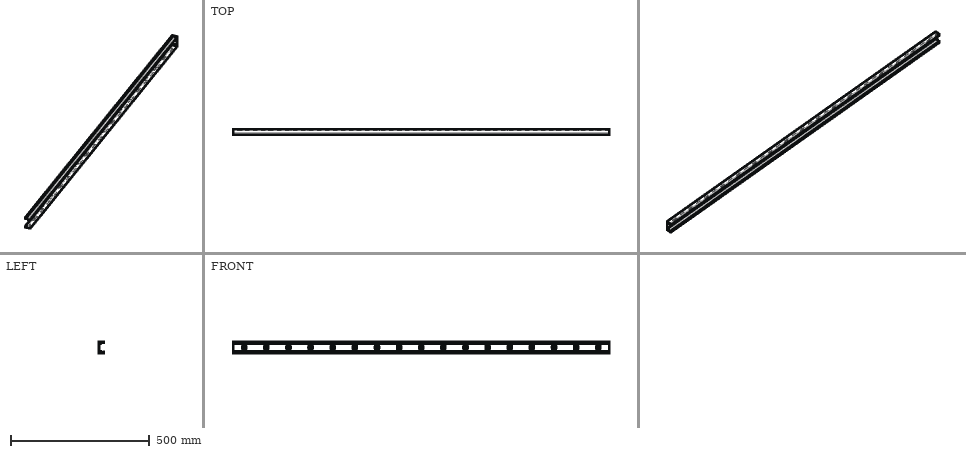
import cadquery as cq

length = 1360.0
depth = 21.0
height = 43.0
half_height = height / 2

web_thickness = 4.5
shoulder_half_gap = 12.3
shoulder_depth = 8.0
flange_thickness = 3.5
groove_half_height = half_height - flange_thickness
groove_back = 12.5
groove_front = 17.5
lip_half_gap = 15.4
lip_land = 0.8
lip_bevel = 1.0
lip_front = depth - lip_bevel
lip_back = lip_front - lip_land

front_edge_radius = 1.5
back_edge_radius = 1.5
shoulder_radius = 4.0
groove_radius = 1.5

hole_pitch = 80.0
hole_count = 17
hole_diameter = 8.5
countersink_diameter = 17.0
countersink_angle = 90.0


def sharp_channel():
    """C-section with a raceway groove in each flange, extruded along X."""
    upper_half = [
        (0, half_height),
        (depth, half_height),
        (depth, lip_half_gap + lip_bevel),
        (lip_front, lip_half_gap),
        (lip_back, lip_half_gap),
        (groove_front, groove_half_height),
        (groove_back, groove_half_height),
        (shoulder_depth, shoulder_half_gap),
        (web_thickness, shoulder_half_gap),
    ]
    lower_half = [(forward, -up) for forward, up in reversed(upper_half)]
    points = [(-forward, up) for forward, up in upper_half + lower_half]
    return cq.Workplane("YZ").polyline(points).close().extrude(length / 2, both=True)


def round_edge_pair(body, forward, up, radius):
    """Round the long edge at this section corner and its mirror in the other flange."""
    for corner_z in (up, -up):
        edge = cq.selectors.NearestToPointSelector((0, -forward, corner_z))
        body = body.edges(edge).fillet(radius)
    return body


def round_long_edges(body):
    """Round the outer corners, the shoulders and the groove floors."""
    body = round_edge_pair(body, depth, half_height, front_edge_radius)
    body = round_edge_pair(body, 0, half_height, back_edge_radius)
    body = round_edge_pair(body, shoulder_depth, shoulder_half_gap, shoulder_radius)
    body = round_edge_pair(body, groove_back, groove_half_height, groove_radius)
    return round_edge_pair(body, groove_front, groove_half_height, groove_radius)


def drill_mounting_holes(body):
    """One row of countersunk holes through the web, sunk from the open side."""
    web_front = cq.Workplane("XZ", origin=(0, -web_thickness, 0))
    return (
        body.copyWorkplane(web_front)
        .rarray(hole_pitch, 1, hole_count, 1)
        .cskHole(hole_diameter, countersink_diameter, countersink_angle, depth=web_thickness)
    )


result = drill_mounting_holes(round_long_edges(sharp_channel()))